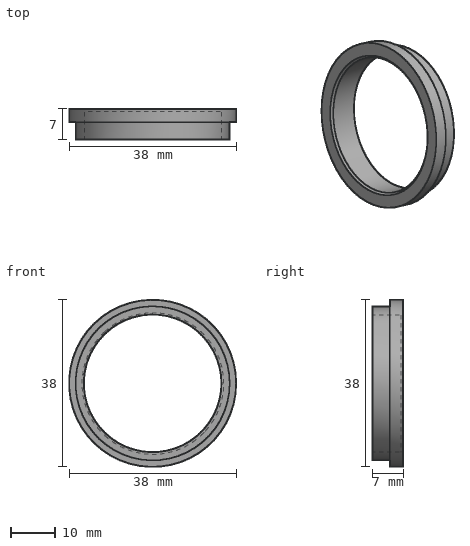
import cadquery as cq

flange_diameter = 38.0
spigot_diameter = 35.0
bore_diameter = 31.2
total_length = 7.0
flange_thickness = 3.0
bore_chamfer = 0.5

spigot_length = total_length - flange_thickness


def disc(diameter, length):
    """Solid disc starting at Y = 0 and extending toward -Y."""
    return cq.Workplane("XZ").circle(diameter / 2).extrude(length)


spigot = disc(spigot_diameter, spigot_length)
flange = disc(flange_diameter, flange_thickness).translate((0, flange_thickness, 0))

bore = disc(bore_diameter, total_length).translate((0, flange_thickness, 0))

ring = flange.union(spigot).cut(bore)

bore_rim = cq.selectors.RadiusNthSelector(0)
result = ring.faces(">Y").edges(bore_rim).chamfer(bore_chamfer)